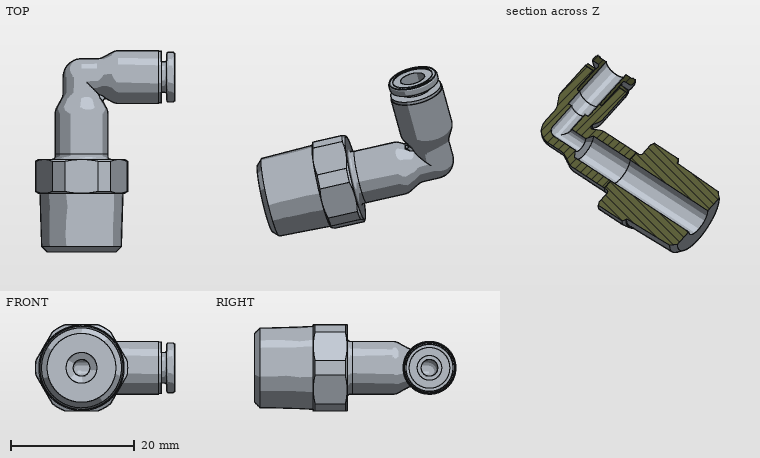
import cadquery as cq
import math


THIN_RADIUS = 3.0
LEG_RADIUS = 4.3
LEG_LENGTH = 12.46
TAPER_START = 2.58
TAPER_ANGLE = math.radians(29)
TAPER_ROUND = 2.0
PASSAGE_RADIUS = 1.35
WEB_THICKNESS = 2.0
WEB_ROUND = 0.4

BORE_RADIUS = 2.5
BORE_CONE_START = 5.0
BORE_CONE_ANGLE = math.radians(59)

TUBE_RADIUS = 2.0
TUBE_STOP = 5.0
SLEEVE_RADIUS = 2.5
SLEEVE_START = 8.0

GUIDE_RADIUS = 4.2
GUIDE_THICKNESS = 0.5

BUTTON_RADIUS = 4.05
BUTTON_BACK = 13.82
BUTTON_FACE = 15.04
BUTTON_BACK_ROUND = 0.3
BUTTON_FACE_ROUND = 0.25
NECK_FILLET = 0.35
RIM_OUTER_RADIUS = 3.85
RIM_INNER_RADIUS = 3.3
RIM_HEIGHT = 0.15

HEX_START = 13.32
HEX_LENGTH = 5.55
HEX_ACROSS_FLATS = 14.0
HEX_CORNER_RADIUS = 7.5
HEX_CHAMFER_RADIUS = 6.93
HEX_CHAMFER_ANGLE = math.radians(30)
COLLAR_FILLET = 0.45
THREAD_LENGTH = 9.5
THREAD_TAPER = 1 / 16
THREAD_ROOT_RADIUS = 6.75
THREAD_CHAMFER = 0.9

STUD_LEG_TURN = -90


def to_stud_leg(body):
    return body.rotate((0, 0, 0), (0, 0, 1), STUD_LEG_TURN)


def turn(profile):
    """Close a half profile (axial, radius) and revolve it about the X axis."""
    return profile.close().revolve(360, (0, 0, 0), (1, 0, 0))


def cylinder(radius, start, end):
    return cq.Workplane("YZ", origin=(start, 0, 0)).circle(radius).extrude(end - start)


ROUND_LENGTH = TAPER_ROUND * math.sin(TAPER_ANGLE)
ROUND_RISE = TAPER_ROUND * (1 - math.cos(TAPER_ANGLE))
ROUND_HALF_LENGTH = TAPER_ROUND * math.sin(TAPER_ANGLE / 2)
ROUND_HALF_RISE = TAPER_ROUND * (1 - math.cos(TAPER_ANGLE / 2))
CONE_START = TAPER_START + ROUND_LENGTH
CONE_START_RADIUS = THIN_RADIUS + ROUND_RISE
CONE_END_RADIUS = LEG_RADIUS - ROUND_RISE
CONE_END = CONE_START + (CONE_END_RADIUS - CONE_START_RADIUS) / math.tan(TAPER_ANGLE)
TAPER_END = CONE_END + ROUND_LENGTH


def elbow_leg():
    return turn(
        cq.Workplane("XY")
        .lineTo(0, THIN_RADIUS)
        .lineTo(TAPER_START, THIN_RADIUS)
        .threePointArc(
            (TAPER_START + ROUND_HALF_LENGTH, THIN_RADIUS + ROUND_HALF_RISE),
            (CONE_START, CONE_START_RADIUS),
        )
        .lineTo(CONE_END, CONE_END_RADIUS)
        .threePointArc(
            (TAPER_END - ROUND_HALF_LENGTH, LEG_RADIUS - ROUND_HALF_RISE),
            (TAPER_END, LEG_RADIUS),
        )
        .lineTo(LEG_LENGTH, LEG_RADIUS)
        .lineTo(LEG_LENGTH, 0)
    )


def corner_web():
    """Flat web in the inner corner, its hollow edge tangent to both tapers."""
    slope = math.tan(TAPER_ANGLE)
    apex = (CONE_START_RADIUS - CONE_START * slope) / (1 - slope)
    half_corner = math.pi / 4 - TAPER_ANGLE
    tangent_length = WEB_ROUND / math.tan(half_corner)
    far = apex + tangent_length * math.cos(TAPER_ANGLE)
    near = apex + tangent_length * math.sin(TAPER_ANGLE)
    hollow = apex + (WEB_ROUND / math.sin(half_corner) - WEB_ROUND) / math.sqrt(2)
    return (
        cq.Workplane("XY", origin=(0, 0, -WEB_THICKNESS / 2))
        .moveTo(THIN_RADIUS / 2, -THIN_RADIUS / 2)
        .lineTo(far, -near)
        .threePointArc((hollow, -hollow), (near, -far))
        .close()
        .extrude(WEB_THICKNESS)
    )


def tube_leg_bore():
    return (
        cylinder(PASSAGE_RADIUS, 0, TUBE_STOP)
        .union(cylinder(TUBE_RADIUS, TUBE_STOP, SLEEVE_START))
        .union(cylinder(SLEEVE_RADIUS, SLEEVE_START, LEG_LENGTH))
    )


def stud_leg_bore():
    cone_end = BORE_CONE_START - (BORE_RADIUS - PASSAGE_RADIUS) / math.tan(BORE_CONE_ANGLE)
    bore = turn(
        cq.Workplane("XY")
        .lineTo(0, PASSAGE_RADIUS)
        .lineTo(cone_end, PASSAGE_RADIUS)
        .lineTo(BORE_CONE_START, BORE_RADIUS)
        .lineTo(LEG_LENGTH, BORE_RADIUS)
        .lineTo(LEG_LENGTH, 0)
    )
    return to_stud_leg(bore)


def make_elbow():
    outside = (
        cq.Workplane("XY")
        .sphere(THIN_RADIUS)
        .union(elbow_leg())
        .union(to_stud_leg(elbow_leg()))
        .union(corner_web())
    )
    inside = (
        cq.Workplane("XY")
        .sphere(PASSAGE_RADIUS)
        .union(tube_leg_bore())
        .union(stud_leg_bore())
    )
    return outside.cut(inside)


def make_guide_ring():
    guide_end = LEG_LENGTH + GUIDE_THICKNESS
    return cylinder(GUIDE_RADIUS, LEG_LENGTH, guide_end).cut(
        cylinder(SLEEVE_RADIUS, LEG_LENGTH, guide_end)
    )


def make_button():
    head = (
        cylinder(BUTTON_RADIUS, BUTTON_BACK, BUTTON_FACE)
        .faces("<X").edges().fillet(BUTTON_BACK_ROUND)
        .faces(">X").edges().fillet(BUTTON_FACE_ROUND)
    )
    rim_end = BUTTON_FACE + RIM_HEIGHT
    rim = cylinder(RIM_OUTER_RADIUS, BUTTON_FACE, rim_end).cut(
        cylinder(RIM_INNER_RADIUS, BUTTON_FACE, rim_end)
    )
    diagonal = NECK_FILLET * (1 - math.sqrt(0.5))
    neck_fillet = turn(
        cq.Workplane("XY")
        .moveTo(BUTTON_BACK - NECK_FILLET, 0)
        .lineTo(BUTTON_BACK - NECK_FILLET, SLEEVE_RADIUS)
        .threePointArc(
            (BUTTON_BACK - diagonal, SLEEVE_RADIUS + diagonal),
            (BUTTON_BACK, SLEEVE_RADIUS + NECK_FILLET),
        )
        .lineTo(BUTTON_BACK, 0)
    )
    sleeve = cylinder(SLEEVE_RADIUS, SLEEVE_START, BUTTON_BACK)
    tube_hole = cylinder(TUBE_RADIUS, SLEEVE_START, rim_end)
    return head.union(rim).union(sleeve).union(neck_fillet).cut(tube_hole)


HEX_END = HEX_START + HEX_LENGTH
STUD_END = HEX_END + THREAD_LENGTH


def stud_collar():
    """Collar that meets the stud leg and flares into the hex."""
    diagonal = COLLAR_FILLET * (1 - math.sqrt(0.5))
    return turn(
        cq.Workplane("XY")
        .moveTo(LEG_LENGTH, 0)
        .lineTo(LEG_LENGTH, LEG_RADIUS)
        .lineTo(HEX_START - COLLAR_FILLET, LEG_RADIUS)
        .threePointArc(
            (HEX_START - diagonal, LEG_RADIUS + diagonal),
            (HEX_START, LEG_RADIUS + COLLAR_FILLET),
        )
        .lineTo(HEX_START, 0)
    )


def stud_hex():
    """Hexagon with turned-down corners and a cone on each end."""
    across_corners = HEX_ACROSS_FLATS / math.cos(math.pi / 6)
    prism = (
        cq.Workplane("YZ", origin=(HEX_START, 0, 0))
        .polygon(6, across_corners)
        .extrude(HEX_LENGTH)
    )
    chamfer_length = (HEX_CORNER_RADIUS - HEX_CHAMFER_RADIUS) * math.tan(HEX_CHAMFER_ANGLE)
    turned_blank = turn(
        cq.Workplane("XY")
        .moveTo(HEX_START, 0)
        .lineTo(HEX_START, HEX_CHAMFER_RADIUS)
        .lineTo(HEX_START + chamfer_length, HEX_CORNER_RADIUS)
        .lineTo(HEX_END - chamfer_length, HEX_CORNER_RADIUS)
        .lineTo(HEX_END, HEX_CHAMFER_RADIUS)
        .lineTo(HEX_END, 0)
    )
    return prism.intersect(turned_blank)


def stud_thread():
    """Tapered pipe thread, without the thread form, chamfered at the tip."""
    straight_length = THREAD_LENGTH - THREAD_CHAMFER
    tip_radius = THREAD_ROOT_RADIUS - straight_length * THREAD_TAPER / 2
    return turn(
        cq.Workplane("XY")
        .moveTo(HEX_END, 0)
        .lineTo(HEX_END, THREAD_ROOT_RADIUS)
        .lineTo(STUD_END - THREAD_CHAMFER, tip_radius)
        .lineTo(STUD_END, tip_radius - THREAD_CHAMFER)
        .lineTo(STUD_END, 0)
    )


def make_stud():
    stud = (
        stud_collar()
        .union(stud_hex())
        .union(stud_thread())
        .cut(cylinder(BORE_RADIUS, LEG_LENGTH, STUD_END))
    )
    return to_stud_leg(stud)


elbow = make_elbow().solids()
guide_ring = make_guide_ring().solids()
button = make_button().solids()
stud = make_stud().solids()

result = cq.Compound.makeCompound([elbow.val(), guide_ring.val(), button.val(), stud.val()])